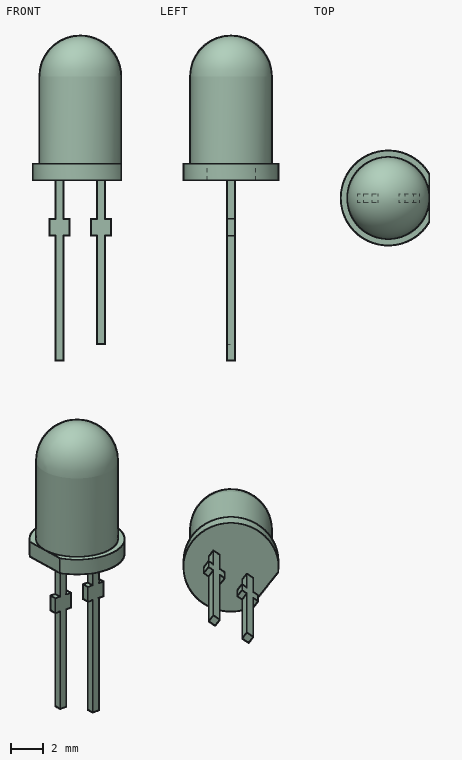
import cadquery as cq

total_height = 19.8

body_diameter = 5.0
body_radius = body_diameter / 2
flange_diameter = 5.8
flange_radius = flange_diameter / 2
flange_height = 1.0
dome_base_height = 6.32
lens_height = dome_base_height + body_radius

lead_thickness = 0.5
lead_spacing = 2.53
lead_length_difference = 1.0
long_lead_length = total_height - lens_height
short_lead_length = long_lead_length - lead_length_difference
collar_width = 1.23
collar_height = 1.0
collar_drop = 2.35


def make_lens():
    """Solid lens standing on z = 0, with the flange cut flush with the body on +X."""
    flange = cq.Workplane("XY").circle(flange_radius).extrude(flange_height)
    flat_side_keeper = cq.Workplane("XY").box(
        flange_radius + body_radius, flange_diameter, flange_height, centered=(False, True, False)
    ).translate((-flange_radius, 0, 0))
    flange = flange.intersect(flat_side_keeper)

    dome_profile = (
        cq.Workplane("XZ")
        .lineTo(body_radius, 0)
        .lineTo(body_radius, dome_base_height)
        .radiusArc((0, lens_height), -body_radius)
        .close()
    )
    body = dome_profile.revolve(360, (0, 0, 0), (0, 1, 0))
    return flange.union(body)


def make_lead(center_x, length):
    """Lead hanging from z = 0, with its collar."""
    wire = cq.Workplane("XY").center(center_x, 0).rect(lead_thickness, lead_thickness).extrude(-length)
    collar = (
        cq.Workplane("XY", origin=(center_x, 0, -collar_drop))
        .rect(collar_width, lead_thickness)
        .extrude(-collar_height)
    )
    return wire.union(collar)


long_lead = make_lead(-lead_spacing / 2, long_lead_length)
short_lead = make_lead(lead_spacing / 2, short_lead_length)
result = make_lens().union(long_lead).union(short_lead)